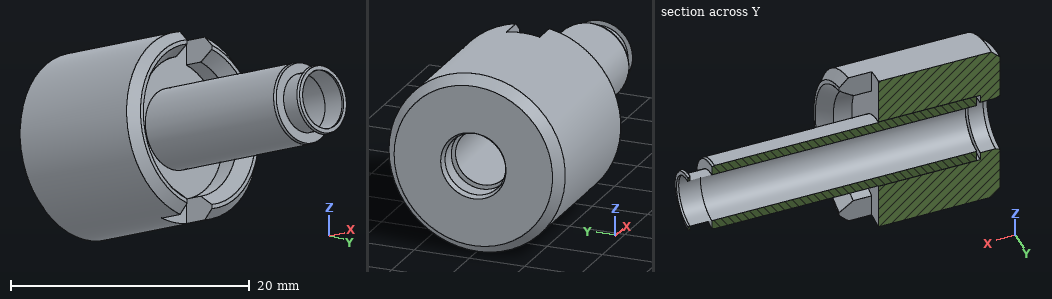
import cadquery as cq

total_length = 28.3

knob_diameter = 16.0
knob_length = 13.99
knob_chamfer = 0.82
front_bore_diameter = 5.5
front_bore_depth = 1.85
front_bore_chamfer_height = 0.212
front_bore_chamfer_length = 0.45
cup_diameter = 11.9
cup_mouth_diameter = 13.65
cup_mouth_depth = 1.27
slot_width = 3.0
slot_depth = 2.95

seat_gap = 0.3
sleeve_diameter = 7.0
sleeve_bore_diameter = 4.98
shoulder_x = 26.13
shoulder_bevel_length = 0.23
shoulder_bevel_height = 0.08
neck_diameter = 5.05
lip_diameter = 5.92
lip_end_diameter = 5.72
lip_thickness = 0.212


def turned(profile):
    """Revolve an outline of (x, radius) points about the X axis."""
    return cq.Workplane("XY").polyline(profile).close().revolve(360, (0, 0, 0), (1, 0, 0))


def make_knob():
    """Round knob with a stepped bore, a rear cup and a slot across the cup wall."""
    outer_radius = knob_diameter / 2
    rim_radius = outer_radius - knob_chamfer
    bore_radius = front_bore_diameter / 2
    seat_radius = sleeve_diameter / 2
    cup_radius = cup_diameter / 2
    cup_floor_x = knob_length - slot_depth
    body = turned([
        (0, bore_radius + front_bore_chamfer_height),
        (0, rim_radius),
        (knob_chamfer, outer_radius),
        (knob_length - knob_chamfer, outer_radius),
        (knob_length, rim_radius),
        (knob_length, cup_mouth_diameter / 2),
        (knob_length - cup_mouth_depth, cup_radius),
        (cup_floor_x, cup_radius),
        (cup_floor_x, seat_radius),
        (front_bore_depth, seat_radius),
        (front_bore_depth, bore_radius),
        (front_bore_chamfer_length, bore_radius),
    ])
    slot = cq.Workplane("XY").box(
        slot_depth, slot_width, knob_diameter, centered=(False, True, True)
    ).translate((cup_floor_x, 0, 0))
    return body.cut(slot)


def make_sleeve():
    """Tube seated just behind the front bore, with a thin neck and an end lip."""
    outer_radius = sleeve_diameter / 2
    bore_radius = sleeve_bore_diameter / 2
    neck_radius = neck_diameter / 2
    front_x = front_bore_depth + seat_gap
    lip_x = total_length - lip_thickness
    return turned([
        (front_x, bore_radius),
        (front_x, outer_radius),
        (shoulder_x - shoulder_bevel_length, outer_radius),
        (shoulder_x, outer_radius - shoulder_bevel_height),
        (shoulder_x, neck_radius),
        (lip_x, neck_radius),
        (lip_x, lip_diameter / 2),
        (total_length, lip_end_diameter / 2),
        (total_length, bore_radius),
    ])


knob = make_knob()
sleeve = make_sleeve()
result = cq.Compound.makeCompound([knob.solids().val(), sleeve.solids().val()])